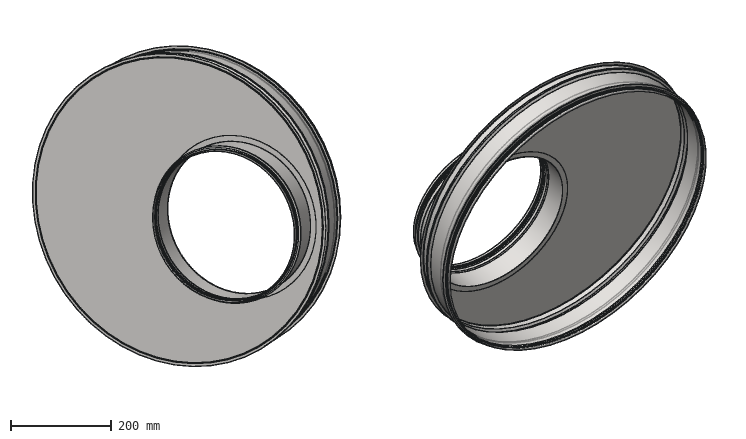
import cadquery as cq

overall_length = 163.0
sheet = 0.6

duct_diameter = 628.5
duct_length = 89.5
duct_lip_diameter = 631.5
plate_diameter = 643.0

collar_diameter = 314.0
collar_offset = 131.0
collar_flange_diameter = 338.0

hem_thickness = 2.9
hem_end = 6.5
seat_start = 9.0
seat_depth = 2.0
duct_seat_end = 24.5
duct_seat_slope = 6.5
collar_seat_end = 23.0
collar_seat_slope = 2.5

bead_start = 65.0
bead_slope = 4.0
bead_crest = 4.0
bead_height = 5.0

gasket_base = 1.0
tooth_position = 10.0
tooth_flank = 0.5
tooth_height = 4.5
fin_position = 14.0
fin_thickness = 2.0
fin_height = 7.0

duct_radius = duct_diameter / 2
collar_radius = collar_diameter / 2
collar_length = overall_length - duct_length
plate_front = duct_length + sheet


def ring(outline):
    """Turn a (radius, distance from the rim) outline about the Y axis, with the rim at Y = 0."""
    points = [(radius, -distance) for radius, distance in outline]
    return cq.Workplane("XY").polyline(points).close().revolve(360, (0, 0, 0), (0, 1, 0))


def at_collar(body):
    """Turn a body built on the Y axis end for end and put its rim at the collar rim."""
    return body.rotate((0, 0, 0), (0, 0, 1), 180).translate((collar_offset, -overall_length, 0))


def rolled_hem(radius):
    """Hem rolled inwards, with a half-round edge at the rim."""
    roll = hem_thickness / 2
    inside = radius - hem_thickness
    return (
        cq.Workplane("XY")
        .moveTo(radius, -hem_end)
        .lineTo(radius, -roll)
        .threePointArc((radius - roll, 0), (inside, -roll))
        .lineTo(inside, -hem_end)
        .close()
        .revolve(360, (0, 0, 0), (0, 1, 0))
    )


def tube(radius, seat_end, seat_slope, tube_end):
    """Sheet tube with a hem and a gasket seat; tube_end lists the outer points beyond the seat."""
    floor = radius - seat_depth
    skin = [
        (radius, hem_end),
        (floor, seat_start),
        (floor, seat_end),
        (radius, seat_end + seat_slope),
        *tube_end,
    ]
    inside = [(point_radius - sheet, distance) for point_radius, distance in reversed(skin)]
    return ring(skin + inside).union(rolled_hem(radius))


def end_flange(inner_radius, outer_diameter, length):
    """Flat flange that ends the tube flush with the back of the plate."""
    outer_radius = outer_diameter / 2
    return ring([
        (inner_radius, length - sheet),
        (outer_radius, length - sheet),
        (outer_radius, length),
        (inner_radius, length),
    ])


def make_duct():
    crest_radius = duct_radius + bead_height
    crest_start = bead_start + bead_slope
    crest_end = crest_start + bead_crest
    body = tube(duct_radius, duct_seat_end, duct_seat_slope, [
        (duct_radius, bead_start),
        (crest_radius, crest_start),
        (crest_radius, crest_end),
        (duct_radius, crest_end + bead_slope),
        (duct_radius, duct_length),
    ])
    return body.union(end_flange(duct_radius - sheet, duct_lip_diameter, duct_length))


def make_collar():
    body = tube(collar_radius, collar_seat_end, collar_seat_slope, [(collar_radius, collar_length)])
    flange = end_flange(collar_radius - sheet, collar_flange_diameter, collar_length + sheet)
    return at_collar(body.union(flange))


def make_gasket(tube_radius):
    floor = tube_radius - seat_depth
    base = floor + gasket_base
    fin_end = fin_position + fin_thickness
    return ring([
        (floor, seat_start),
        (base, seat_start),
        (floor + tooth_height, tooth_position),
        (base, tooth_position + tooth_flank),
        (base, fin_position),
        (floor + fin_height, fin_position),
        (floor + fin_height, fin_end),
        (floor, fin_end),
    ])


def make_plate():
    plate_radius = plate_diameter / 2
    disc = ring([
        (0, duct_length),
        (plate_radius, duct_length),
        (plate_radius, plate_front),
        (0, plate_front),
    ])
    opening = (
        cq.Workplane("XZ", origin=(collar_offset, 0, 0))
        .circle(collar_radius)
        .extrude(overall_length)
    )
    return disc.cut(opening)


duct = make_duct()
duct_gasket = make_gasket(duct_radius)
plate = make_plate()
collar = make_collar()
collar_gasket = at_collar(make_gasket(collar_radius))

bodies = [duct, duct_gasket, plate, collar, collar_gasket]
result = cq.Compound.makeCompound([body.solids().val() for body in bodies])